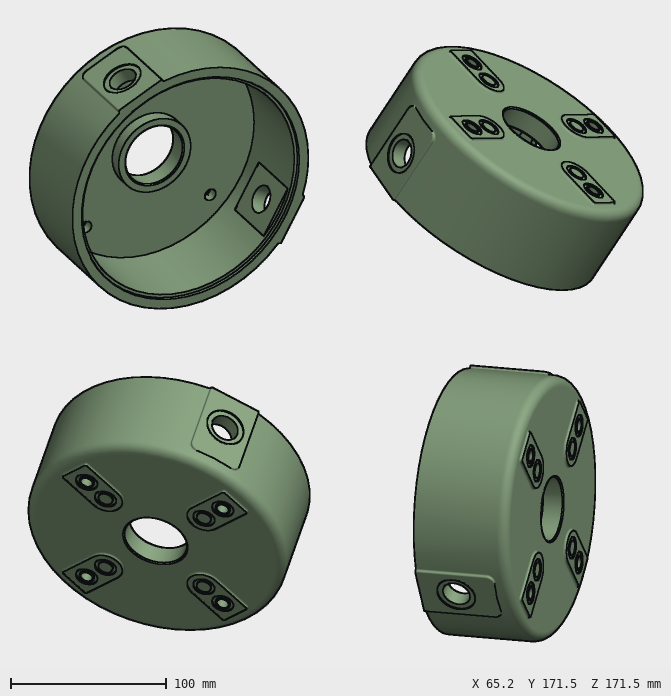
import cadquery as cq
import math

outer_diameter = 171.5
overall_length = 65.2
foot_height = 1.7
housing_length = overall_length - foot_height
front_edge_radius = 6.3
floor_thickness = 6.0
cavity_diameter = 153.6
lip_diameter = 158.0
lip_depth = 2.5

bore_diameter = 41.3
bore_chamfer = 0.9
hub_diameter = 52.3
hub_end_x = 14.7

foot_angles = [45, 135, 225, 315]
foot_half_width = 11.1
foot_end_radius = 75.8
foot_corner_radius = 1.4
foot_base_fillet = 1.63
blind_groove_radius = 46.1
screw_radius = 63.8
screw_diameter = 7.9
groove_outer_diameter = 14.2
groove_inner_diameter = 9.6
groove_depth = 1.0

port_angles = [115, -30]
port_x = 38.5
port_diameter = 18.2
port_spot_diameter = 25.5
port_spot_depth = 0.9
pad_plane = 85.9
pad_width = 35.0
pad_start_x = 10.1
pad_corner_radius = 5.1
pad_fillet = 0.95
boss_plane = 74.5
boss_length = 39.5

overlap = 1.7
tolerance = 0.02
middle_of_wall = (outer_diameter + cavity_diameter) / 4


def disc(diameter, start_x, end_x, y=0, z=0):
    return cq.Workplane("YZ", origin=(start_x, y, z)).circle(diameter / 2).extrude(end_x - start_x)


def turn(shape, angle):
    """Rotate about the part's X axis."""
    return shape.rotate((0, 0, 0), (1, 0, 0), angle)


def foot(angle):
    plate = (
        cq.Workplane("YZ", origin=(-foot_height, 0, 0))
        .moveTo(blind_groove_radius, foot_half_width)
        .lineTo(foot_end_radius, foot_half_width)
        .lineTo(foot_end_radius, -foot_half_width)
        .lineTo(blind_groove_radius, -foot_half_width)
        .threePointArc(
            (blind_groove_radius - foot_half_width, 0),
            (blind_groove_radius, foot_half_width),
        )
        .close()
        .extrude(foot_height + overlap)
    )
    return turn(plate.edges("|X and >Y").fillet(foot_corner_radius), angle)


def foot_cuts(angle):
    """A blind ring groove, and a ring groove around a through screw hole."""
    direction_y = math.cos(math.radians(angle))
    direction_z = math.sin(math.radians(angle))
    groove_end = groove_depth - foot_height

    def ring_groove(radius):
        y, z = radius * direction_y, radius * direction_z
        ring = disc(groove_outer_diameter, -foot_height, groove_end, y, z)
        return ring.cut(disc(groove_inner_diameter, -foot_height, groove_end, y, z))

    screw_hole = disc(
        screw_diameter,
        -foot_height,
        floor_thickness + overlap,
        screw_radius * direction_y,
        screw_radius * direction_z,
    )
    return ring_groove(blind_groove_radius).union(ring_groove(screw_radius)).union(screw_hole)


def port_pad(angle):
    length = housing_length - pad_start_x
    pad = (
        cq.Workplane("XY", origin=(pad_start_x, 0, middle_of_wall))
        .box(length, pad_width, pad_plane - middle_of_wall, centered=(False, True, False))
        .edges("<X and |Z")
        .fillet(pad_corner_radius)
        .faces(">Z")
        .edges("not >X")
        .fillet(pad_fillet)
    )
    return turn(pad, angle - 90)


def is_pad_base(edge):
    """True where a pad's sides meet the round outside of the housing."""
    middle = edge.positionAt(0.5)
    on_outside = abs(math.hypot(middle.y, middle.z) - outer_diameter / 2) < tolerance
    along_pad = edge.BoundingBox().xmin > pad_start_x - tolerance and middle.x < housing_length - tolerance
    return on_outside and along_pad


def port_boss(angle):
    boss = cq.Workplane("XY", origin=(port_x, 0, boss_plane)).box(
        boss_length, pad_width, middle_of_wall - boss_plane, centered=(True, True, False)
    )
    return turn(boss, angle - 90)


def port_cut(angle):
    bore_start = boss_plane - overlap
    bore = (
        cq.Workplane("XY", origin=(port_x, 0, bore_start))
        .circle(port_diameter / 2)
        .extrude(pad_plane - bore_start)
    )
    spot = (
        cq.Workplane("XY", origin=(port_x, 0, pad_plane - port_spot_depth))
        .circle(port_spot_diameter / 2)
        .extrude(port_spot_depth)
    )
    return turn(bore.union(spot), angle - 90)


def central_bore():
    """Bore with a chamfer at both ends, as one turned profile."""
    radius = bore_diameter / 2
    return (
        cq.Workplane("XY")
        .polyline(
            [
                (0, 0),
                (0, radius + bore_chamfer),
                (bore_chamfer, radius),
                (hub_end_x - bore_chamfer, radius),
                (hub_end_x, radius + bore_chamfer),
                (hub_end_x, 0),
            ]
        )
        .close()
        .revolve(360, (0, 0, 0), (1, 0, 0))
    )


result = disc(outer_diameter, 0, housing_length).faces("<X").edges().fillet(front_edge_radius)
for angle in foot_angles:
    result = result.union(foot(angle))
foot_reach = foot_end_radius + overlap
foot_base = cq.selectors.BoxSelector(
    (-tolerance, -foot_reach, -foot_reach), (tolerance, foot_reach, foot_reach)
)
result = result.edges(foot_base).fillet(foot_base_fillet)
for angle in port_angles:
    result = result.union(port_pad(angle))
result = result.edges().filter(is_pad_base).fillet(pad_fillet)

result = result.cut(disc(cavity_diameter, floor_thickness, housing_length))
result = result.cut(disc(lip_diameter, housing_length - lip_depth, housing_length))
result = result.union(disc(hub_diameter, floor_thickness - overlap, hub_end_x))
for angle in port_angles:
    result = result.union(port_boss(angle))

result = result.cut(central_bore())
for angle in foot_angles:
    result = result.cut(foot_cuts(angle))
for angle in port_angles:
    result = result.cut(port_cut(angle))